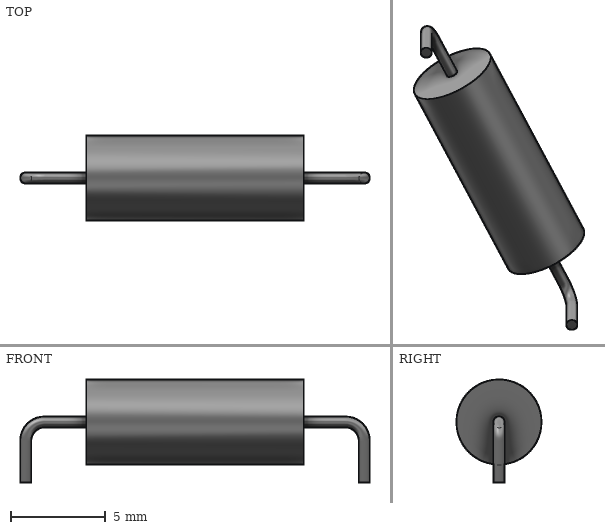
import cadquery as cq

overall_length = 18.46
body_diameter = 4.5
body_length = 11.5
overall_height = 5.45
lead_diameter = 0.59
bend_radius = 1.0

body_end = body_length / 2
lead_x = (overall_length - lead_diameter) / 2
lead_bottom = body_diameter / 2 - overall_height


def make_body():
    """Plain cylinder centred on the origin."""
    start_plane = cq.Workplane("YZ", origin=(-body_end, 0, 0))
    return start_plane.circle(body_diameter / 2).extrude(body_length)


def make_lead(side):
    """Wire from a body end face, bent down; side is -1 or +1 along X."""
    bend_start_x = side * (lead_x - bend_radius)
    path = (
        cq.Workplane("XZ")
        .moveTo(side * body_end, 0)
        .lineTo(bend_start_x, 0)
        .tangentArcPoint((side * lead_x, -bend_radius), relative=False)
        .lineTo(side * lead_x, lead_bottom)
    )
    section = cq.Workplane("YZ", origin=(side * body_end, 0, 0)).circle(lead_diameter / 2)
    return section.sweep(path)


body = make_body()
leads = [make_lead(side) for side in (-1, 1)]

result = cq.Compound.makeCompound([body.val(), *[lead.val() for lead in leads]])